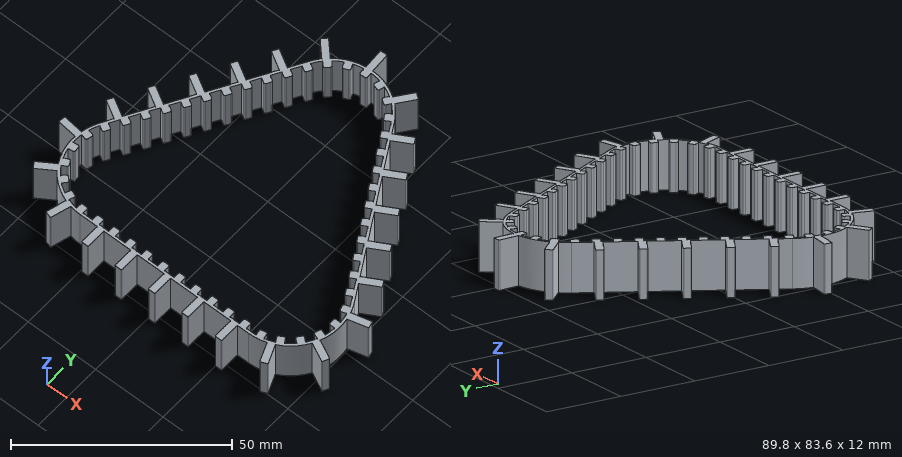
import cadquery as cq
import math

belt_width = 12.0
wheel_count = 3
wheel_spacing = 50.0
inner_radius = 13.9
belt_thickness = 0.74

tooth_count = 49
tooth_width = 2.1
tooth_height = 1.8
tooth_tip_fillet = 0.45
tooth_start = -1.5

cleat_count = 24
cleat_width = 2.0
cleat_height = 5.5
cleat_tip_fillet = 0.2
cleat_start = 0.9

wheel_turn = 360 / wheel_count
section_length = wheel_spacing + math.radians(wheel_turn) * inner_radius
path_length = wheel_count * section_length

outer_radius = inner_radius + belt_thickness
wheel_circle_radius = wheel_spacing / (2 * math.sin(math.pi / wheel_count))
bottom_run_offset = wheel_circle_radius * math.cos(math.pi / wheel_count)
root_overlap = belt_thickness / 2


def rounded_triangle(radius):
    """Solid triangle of wheel centres, grown by the given radius with rounded corners."""
    return (
        cq.Workplane("XY")
        .polygon(wheel_count, 2 * wheel_circle_radius)
        .offset2D(radius, "arc")
        .extrude(belt_width)
        .rotate((0, 0, 0), (0, 0, 1), 90)
    )


def bar(width, inner, outer):
    """Upright bar spanning two distances from a wheel centre, pointing outward along -Y."""
    return cq.Workplane("XY").center(0, -(inner + outer) / 2).rect(width, outer - inner).extrude(belt_width)


def place_on_path(shape, distance):
    """Move a shape from the origin's wheel frame to a path distance from the bottom run's middle."""
    from_run_start = (distance + wheel_spacing / 2) % path_length
    section, along = divmod(from_run_start, section_length)
    straight = min(along, wheel_spacing)
    turn = math.degrees((along - straight) / inner_radius)
    return (
        shape.rotate((0, 0, 0), (0, 0, 1), turn)
        .translate((straight - wheel_spacing / 2, -bottom_run_offset, 0))
        .rotate((0, 0, 0), (0, 0, 1), section * wheel_turn)
    )


def spread(shape, count, start):
    """Solids of a shape repeated at even spacing around the whole path."""
    pitch = path_length / count
    return [place_on_path(shape, start + index * pitch).val() for index in range(count)]


band = rounded_triangle(outer_radius).cut(rounded_triangle(inner_radius))

tooth = bar(tooth_width, inner_radius - tooth_height, inner_radius + root_overlap)
tooth = tooth.faces(">Y").edges("|Z").fillet(tooth_tip_fillet)

cleat = bar(cleat_width, outer_radius - root_overlap, outer_radius + cleat_height)
cleat = cleat.faces("<Y").edges("|Z").fillet(cleat_tip_fillet)

teeth = spread(tooth, tooth_count, tooth_start)
cleats = spread(cleat, cleat_count, cleat_start)
result = cq.Workplane(band.val().fuse(*teeth, *cleats).clean()).solids()